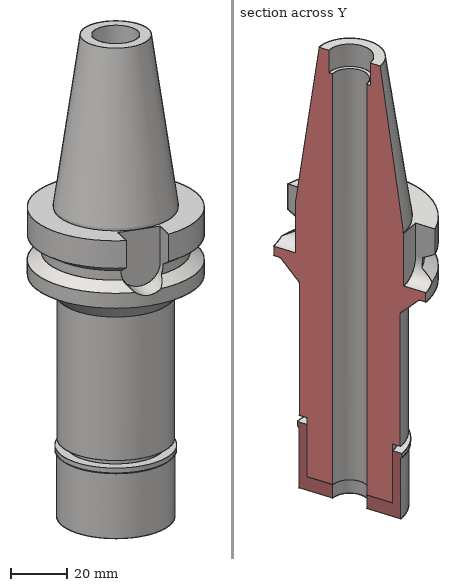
import cadquery as cq

TOTAL_HEIGHT = 185.4
GAUGE_Z = 120.0
FLANGE_TOP_Z = 119.0
GROOVE_TOP_Z = 108.5
GROOVE_FLOOR_TOP_Z = 105.5
GROOVE_FLOOR_BOTTOM_Z = 101.8
GROOVE_BOTTOM_Z = 98.8
FLANGE_BOTTOM_Z = 93.0
SHANK_TOP_Z = 85.3
SHANK_BOTTOM_Z = 30.0

FLANGE_RADIUS = 31.5
GROOVE_RADIUS = 26.5
GAUGE_RADIUS = 22.2
TAPER_RATIO = 7 / 24
TAPER_TOP_RADIUS = GAUGE_RADIUS - (TOTAL_HEIGHT - GAUGE_Z) * TAPER_RATIO / 2
SHANK_RADIUS = 21.0
SHOULDER_RADIUS = SHANK_RADIUS + FLANGE_BOTTOM_Z - SHANK_TOP_Z
SPIGOT_RADIUS = 17.8

BORE_RADIUS = 7.0
COUNTERBORE_RADIUS = 8.5
COUNTERBORE_DEPTH = 9.3

SLOT_WIDTH = 16.1
SLOT_FLOOR_X = 22.5
SLOT_BOTTOM_Z = 97.1

NUT_HEIGHT = 27.5
NUT_RADIUS = 21.1
NUT_FRONT_WALL = 5.5
COLLAR_RADIUS = 21.7
COLLAR_HEIGHT = 1.9
COLLAR_CHAMFER = COLLAR_RADIUS - NUT_RADIUS


def cylinder(radius, bottom_z, top_z):
    return cq.Workplane("XY").workplane(offset=bottom_z).circle(radius).extrude(top_z - bottom_z)


def revolve_profile(points):
    """Turn a closed outline of (radius, height) points around the Z axis."""
    return cq.Workplane("XZ").polyline(points).close().revolve(360, (0, 0, 0), (0, 1, 0))


def drive_slot(side):
    """Cutter for a round-ended slot, open at the flange top and on its outer side."""
    end_radius = SLOT_WIDTH / 2
    arc_center_z = SLOT_BOTTOM_Z + end_radius
    return (
        cq.Workplane("YZ")
        .workplane(offset=side * SLOT_FLOOR_X)
        .moveTo(-end_radius, FLANGE_TOP_Z)
        .lineTo(-end_radius, arc_center_z)
        .threePointArc((0, SLOT_BOTTOM_Z), (end_radius, arc_center_z))
        .lineTo(end_radius, FLANGE_TOP_Z)
        .close()
        .extrude(side * (FLANGE_RADIUS - SLOT_FLOOR_X))
    )


def make_holder():
    """Taper, grooved flange, shank and the spigot that carries the nut."""
    holder = revolve_profile([
        (0, TOTAL_HEIGHT),
        (TAPER_TOP_RADIUS, TOTAL_HEIGHT),
        (GAUGE_RADIUS, GAUGE_Z),
        (GAUGE_RADIUS, FLANGE_TOP_Z),
        (FLANGE_RADIUS, FLANGE_TOP_Z),
        (FLANGE_RADIUS, GROOVE_TOP_Z),
        (GROOVE_RADIUS, GROOVE_FLOOR_TOP_Z),
        (GROOVE_RADIUS, GROOVE_FLOOR_BOTTOM_Z),
        (FLANGE_RADIUS, GROOVE_BOTTOM_Z),
        (FLANGE_RADIUS, FLANGE_BOTTOM_Z),
        (SHOULDER_RADIUS, FLANGE_BOTTOM_Z),
        (SHANK_RADIUS, SHANK_TOP_Z),
        (SHANK_RADIUS, SHANK_BOTTOM_Z),
        (SPIGOT_RADIUS, SHANK_BOTTOM_Z),
        (SPIGOT_RADIUS, NUT_FRONT_WALL),
        (0, NUT_FRONT_WALL),
    ])
    for side in (-1, 1):
        holder = holder.cut(drive_slot(side))
    holder = holder.cut(cylinder(BORE_RADIUS, NUT_FRONT_WALL, TOTAL_HEIGHT))
    return holder.cut(cylinder(COUNTERBORE_RADIUS, TOTAL_HEIGHT - COUNTERBORE_DEPTH, TOTAL_HEIGHT))


def make_nut():
    """Cup-shaped nut around the spigot, with a collar at its upper rim."""
    collar_bottom_z = NUT_HEIGHT - COLLAR_HEIGHT
    return revolve_profile([
        (BORE_RADIUS, 0),
        (NUT_RADIUS, 0),
        (NUT_RADIUS, collar_bottom_z - COLLAR_CHAMFER),
        (COLLAR_RADIUS, collar_bottom_z),
        (COLLAR_RADIUS, NUT_HEIGHT),
        (SPIGOT_RADIUS, NUT_HEIGHT),
        (SPIGOT_RADIUS, NUT_FRONT_WALL),
        (BORE_RADIUS, NUT_FRONT_WALL),
    ])


holder = make_holder()
nut = make_nut()

result = cq.Compound.makeCompound([holder.val(), nut.val()])